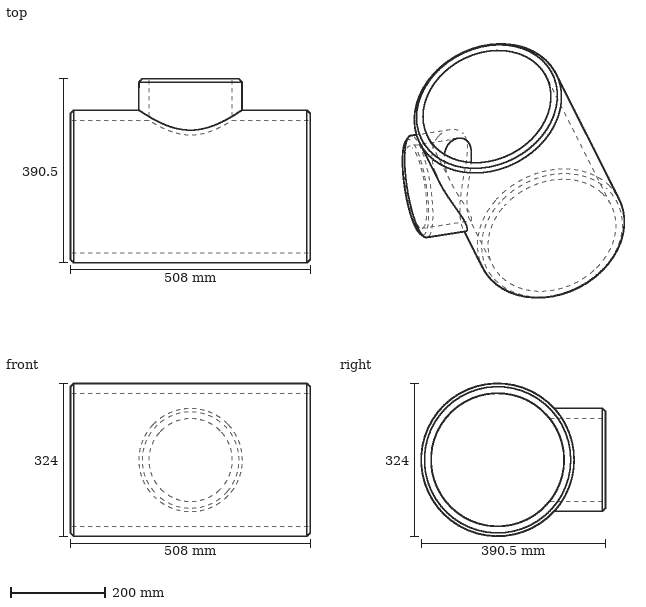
import cadquery as cq

run_length = 508.0
run_diameter = 324.0
wall = 21.5
run_bore = run_diameter - 2 * wall

branch_diameter = 219.0
branch_reach = 228.5
branch_bore = branch_diameter - 2 * wall

bevel = 7.0


def run_cylinder(diameter):
    return cq.Workplane("YZ").circle(diameter / 2).extrude(run_length / 2, both=True)


def branch_cylinder(diameter):
    return cq.Workplane("XZ").circle(diameter / 2).extrude(-branch_reach)


run = run_cylinder(run_diameter).faces("<X or >X").chamfer(bevel)
branch = branch_cylinder(branch_diameter).faces(">Y").chamfer(bevel)

result = run.union(branch).cut(run_cylinder(run_bore)).cut(branch_cylinder(branch_bore))